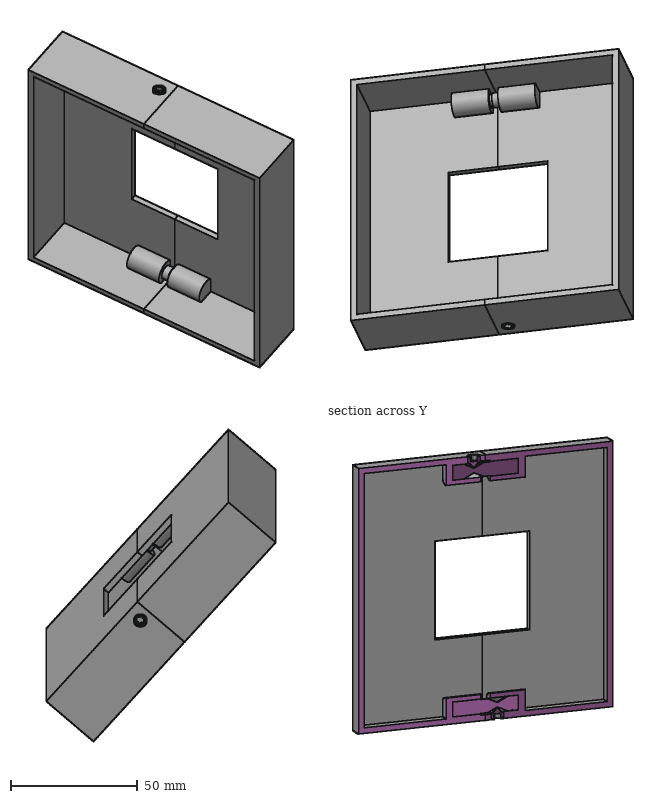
import cadquery as cq
import math

side = 109.0
depth = 25.0
wall = 2.5
back_plate = 2.5
window = 40.4

boss_radius = 5.0
boss_inset = 3.5
boss_inner_x = 2.0
boss_outer_x = 17.0

pin_radius = 2.9
bore_end_wall = 3.0
groove_start_x = 1.0
groove_angle = 25.0

screw_radius = 2.6
screw_x = 5.0
screw_chamfer = 0.5
socket_tip_radius = 1.9
socket_waist_radius = 1.4
socket_lobes = 6
socket_depth = 2.2

half_side = side / 2
back_y = depth / 2
plate_inner_y = back_y - back_plate
wall_inner_z = half_side - wall
axis_y = plate_inner_y - boss_inset
axis_z = wall_inner_z - boss_inset
pin_half_length = boss_outer_x - bore_end_wall
groove_depth = (screw_x - groove_start_x) * math.tan(math.radians(groove_angle))
groove_far_x = 2 * screw_x - groove_start_x
screw_tip_z = axis_z + pin_radius - groove_depth


def turned(body):
    """The body turned half a turn about the Y axis."""
    return body.rotate((0, 0, 0), (0, 1, 0), 180)


def x_cylinder(radius, x_start, x_end, z):
    """A cylinder parallel to X on the boss axis at height z."""
    return (
        cq.Workplane("YZ", origin=(x_start, axis_y, z))
        .circle(radius)
        .extrude(x_end - x_start)
    )


def make_screw_blank():
    """Cone-pointed screw, flush with the top of the frame."""
    cone_top_z = screw_tip_z + screw_radius
    return (
        cq.Workplane("XZ")
        .moveTo(0, screw_tip_z)
        .lineTo(screw_radius, cone_top_z)
        .lineTo(screw_radius, half_side)
        .lineTo(0, half_side)
        .close()
        .revolve(360, (0, 0, 0), (0, 1, 0))
        .translate((-screw_x, axis_y, 0))
    )


def socket_point(radius, lobe_steps):
    """A point around the socket centre, counted in lobe pitches from the +Y direction."""
    angle = 2 * math.pi * lobe_steps / socket_lobes
    return (radius * math.sin(angle), radius * math.cos(angle))


def make_socket():
    """Six-lobed socket: round lobes joined by hollow arcs."""
    flank_radius = (socket_tip_radius + socket_waist_radius) / 2
    outline = cq.Workplane("XY", origin=(-screw_x, axis_y, half_side - socket_depth))
    outline = outline.moveTo(*socket_point(flank_radius, -1 / 4))
    for lobe in range(socket_lobes):
        outline = outline.threePointArc(
            socket_point(socket_tip_radius, lobe),
            socket_point(flank_radius, lobe + 1 / 4),
        )
        outline = outline.threePointArc(
            socket_point(socket_waist_radius, lobe + 1 / 2),
            socket_point(flank_radius, lobe + 3 / 4),
        )
    return outline.close().extrude(socket_depth)


def make_set_screw():
    """Top set screw, chamfered around its outer end and driven through its socket."""
    return make_screw_blank().faces(">Z").chamfer(screw_chamfer).cut(make_socket())


def make_boss(z):
    """Boss on the -X side at height z, merging into the wall and the back plate."""
    boss = x_cylinder(boss_radius, -boss_outer_x, -boss_inner_x, z)
    inside = cq.Workplane("XY").box(side, 2 * plate_inner_y, 2 * wall_inner_z)
    return boss.intersect(inside)


def make_half_frame():
    """The -X half of the frame, with its two bosses, pin bores and screw hole."""
    shell = cq.Workplane("XY").box(side, depth, side)
    cavity = cq.Workplane("XY").box(side - 2 * wall, depth, side - 2 * wall).translate((0, -back_plate, 0))
    opening = cq.Workplane("XY").box(window, 2 * depth, window)
    left_side = cq.Workplane("XY").box(half_side, depth, side).translate((-half_side / 2, 0, 0))
    half = shell.cut(cavity).cut(opening).intersect(left_side)
    for z in (axis_z, -axis_z):
        half = half.union(make_boss(z))
        half = half.cut(x_cylinder(pin_radius, -pin_half_length, 0, z))
    return half.cut(make_screw_blank())


def make_pin():
    """Top pin, with a V-groove around it under the set screw."""
    floor_radius = pin_radius - groove_depth
    return (
        cq.Workplane("XY")
        .moveTo(-pin_half_length, 0)
        .lineTo(-pin_half_length, pin_radius)
        .lineTo(-groove_far_x, pin_radius)
        .lineTo(-screw_x, floor_radius)
        .lineTo(-groove_start_x, pin_radius)
        .lineTo(pin_half_length, pin_radius)
        .lineTo(pin_half_length, 0)
        .close()
        .revolve(360, (0, 0, 0), (1, 0, 0))
        .translate((0, axis_y, axis_z))
    )


half_frame = make_half_frame()
pin = make_pin()
set_screw = make_set_screw()
bodies = []
for body in (half_frame, pin, set_screw):
    bodies.append(body.val())
    bodies.append(turned(body).val())

result = cq.Compound.makeCompound(bodies)